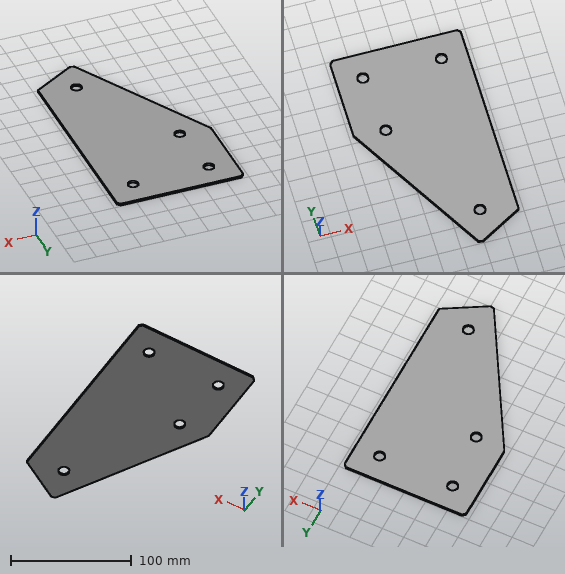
import cadquery as cq
import math

width = 112.5
length = 198.6
thickness = 2.0
left_side = 73.3
slant_angle = 60.0
corner_chamfer = 2.5
hole_diameter = 9.1
hole_margin = 22.5
slant_hole_spacing = 108.5

slant_rad = math.radians(slant_angle)
up_slant = (-math.cos(slant_rad), math.sin(slant_rad))
along_end = (math.sin(slant_rad), math.cos(slant_rad))

tip_y = -length - corner_chamfer * along_end[1]
tip_x = (-left_side - tip_y) / math.tan(slant_rad)
right_y = tip_y + (width - tip_x) * along_end[1] / along_end[0]


def slant_hole(distance):
    """Hole centre at a distance from the end edge, inset from the slanted side."""
    return (
        tip_x + distance * up_slant[0] + hole_margin * along_end[0],
        tip_y + distance * up_slant[1] + hole_margin * along_end[1],
    )


def chamfer_corner(plate, x, y):
    """Chamfer the vertical edge of the plate at the given corner."""
    edge = cq.selectors.NearestToPointSelector((x, y, thickness / 2))
    return plate.edges("|Z").edges(edge).chamfer(corner_chamfer)


outline = [
    (0, 0),
    (width, 0),
    (width, right_y),
    (tip_x, tip_y),
    (0, -left_side),
]
plate = cq.Workplane("XY").polyline(outline).close().extrude(thickness)

for corner in [(0, 0), (width, 0), (tip_x, tip_y)]:
    plate = chamfer_corner(plate, *corner)

hole_centers = [
    (hole_margin, -hole_margin),
    (width - hole_margin, -hole_margin),
    slant_hole(hole_margin),
    slant_hole(hole_margin + slant_hole_spacing),
]
holes = cq.Workplane("XY").pushPoints(hole_centers).circle(hole_diameter / 2).extrude(thickness)

result = plate.cut(holes)